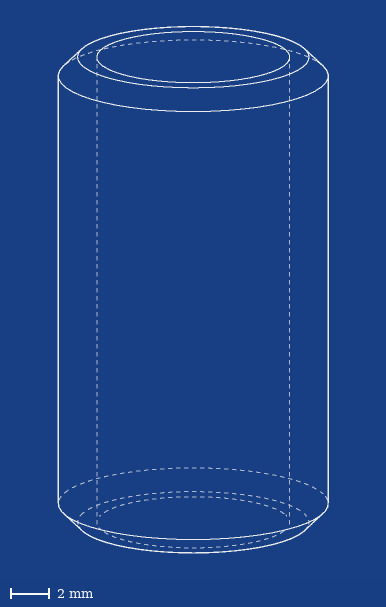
import cadquery as cq

length = 25.0
bore_diameter = 10.0
wall = 2.0
outer_diameter = bore_diameter + 2 * wall
chamfer = wall / 2

body = cq.Workplane("XY").circle(outer_diameter / 2).extrude(length)
body = body.faces("|Z").edges().chamfer(chamfer)

bore = cq.Workplane("XY").circle(bore_diameter / 2).extrude(length)

result = body.cut(bore)